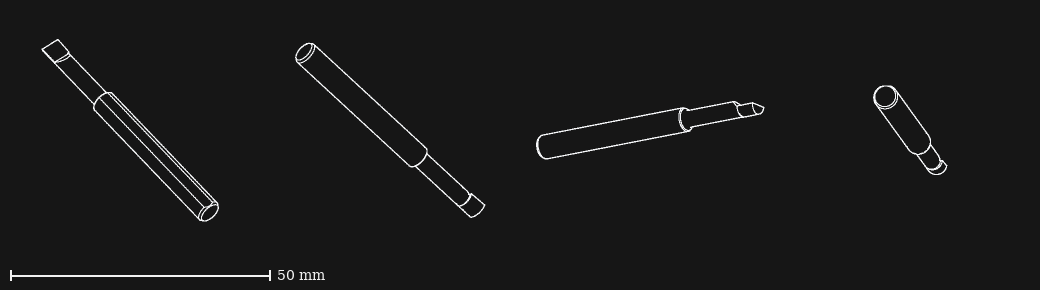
import cadquery as cq
import math

length = 50.8
shank_diameter = 4.7
shank_radius = shank_diameter / 2
flat_height = 2.15
neck_diameter = 3.3
neck_radius = neck_diameter / 2

shoulder_x = 16.95
shoulder_fillet = 0.5
front_chamfer = 0.2
rear_chamfer_length = 0.5
rear_chamfer_depth = 0.3

ledge_length = 3.95
tip_length = 3.75
tip_reach = 2.2
tip_back_reach = 2.05
tip_near_side = 1.65
tip_depth = 1.8
end_relief_angle = 7.0


def turned_bar():
    """Neck and shank as one revolved profile, with a flat along the shank."""
    fillet_start = shoulder_x - shoulder_fillet
    shoulder_radius = neck_radius + shoulder_fillet
    arc_leg = shoulder_fillet * math.sqrt(0.5)
    arc_middle = (fillet_start + arc_leg, shoulder_radius - arc_leg)
    profile = (
        cq.Workplane("XZ")
        .lineTo(0, neck_radius)
        .lineTo(fillet_start, neck_radius)
        .threePointArc(arc_middle, (shoulder_x, shoulder_radius))
        .lineTo(shoulder_x + front_chamfer, shank_radius)
        .lineTo(length - rear_chamfer_length, shank_radius)
        .lineTo(length, shank_radius - rear_chamfer_depth)
        .lineTo(length, 0)
        .close()
    )
    bar = profile.revolve(360, (0, 0, 0), (1, 0, 0))
    above_flat = (
        cq.Workplane("XY", origin=(shoulder_x, 0, flat_height))
        .rect(2 * length, 2 * shank_radius)
        .extrude(shank_radius)
    )
    return bar.cut(above_flat)


def tip_section(plane, reach):
    """Half-round section below the rake face, passing through three points."""
    middle = (reach - tip_near_side) / 2
    return plane.moveTo(-tip_near_side, 0).threePointArc((middle, -tip_depth), (reach, 0)).close()


def cutting_tip():
    """Tip widening toward +Y, tapering toward its back end."""
    front = tip_section(cq.Workplane("YZ"), tip_reach)
    return tip_section(front.workplane(offset=tip_length), tip_back_reach).loft(ruled=True)


def space_above_ledge():
    """Space over the rake face, closed by a 45 degree wall."""
    rise = 2 * neck_radius
    return (
        cq.Workplane("XZ")
        .polyline([(0, 0), (ledge_length, 0), (ledge_length + rise, rise), (0, rise)])
        .close()
        .extrude(shank_radius, both=True)
    )


def end_relief():
    """Wedge in front of the relieved end face."""
    drop = shank_radius
    setback = drop * math.tan(math.radians(end_relief_angle))
    return (
        cq.Workplane("XZ")
        .polyline([(0, 0), (setback, -drop), (0, -drop)])
        .close()
        .extrude(shank_radius, both=True)
    )


body = turned_bar().cut(space_above_ledge())
result = body.union(cutting_tip()).cut(end_relief())